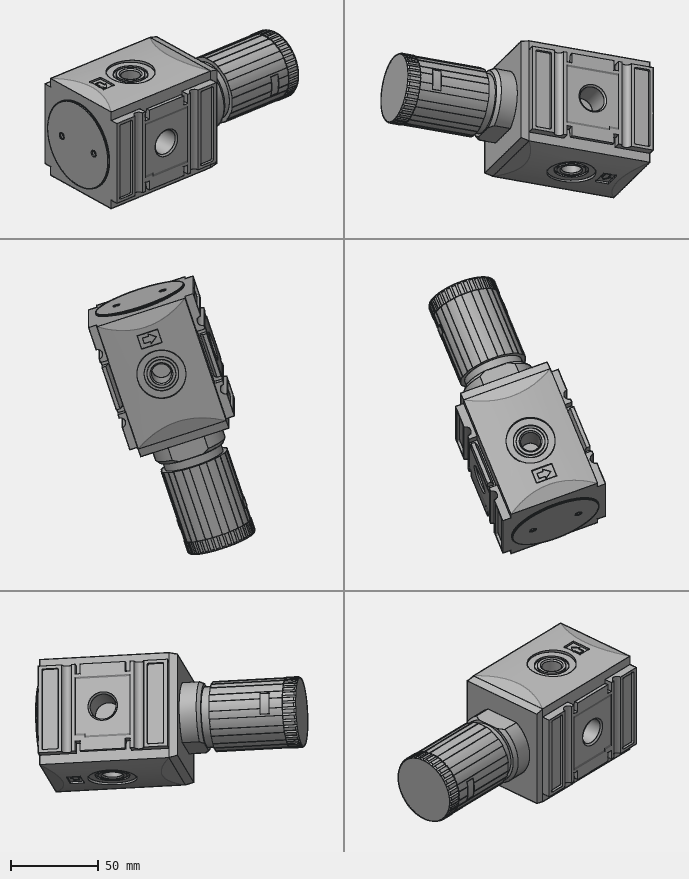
import cadquery as cq
import math


HOUSING_LENGTH = 75.2
HOUSING_HALF_WIDTH = 26.5
EDGE_HALF_HEIGHT = 31.5
CROWN_HALF_HEIGHT = 33.6
SLOPE_RUN = 8.5
SLOPE_GRADIENT = (CROWN_HALF_HEIGHT - EDGE_HALF_HEIGHT) / SLOPE_RUN
PORT_Y = HOUSING_LENGTH / 2

COVER_DIAMETER = 53.5
COVER_BOSS_DIAMETER = 43.8
COVER_GAP = 1.4
COVER_THICKNESS = 1.0
COVER_CHAMFER = 0.5
COVER_FRONT_Y = -COVER_GAP - COVER_THICKNESS
COVER_HOLE_DIAMETER = 3.2
COVER_HOLE_MOUTH_DIAMETER = 4.2
COVER_HOLE_DEPTH = 1.8
COVER_HOLE_X = 14.0

EAR_FACE_X = 31.5
EAR_HALF_HEIGHT = 26.0
EAR_GROOVE_RADIUS = 2.8
EAR_GROOVE_SPACING = 42.0
EAR_POCKET_LENGTH = 9.5
EAR_POCKET_HEIGHT = 48.3
EAR_POCKET_SPACING = 61.2
EAR_POCKET_DEPTH = 1.6
EAR_POCKET_CORNER = 0.9

HOOK_RECESS_LENGTH = 32.0
HOOK_LENGTH = 26.1
HOOK_FLOOR_Z = 20.1
HOOK_TIP_THICKNESS = 2.2
HOOK_ROOT_THICKNESS = 4.0

LABEL_DEPTH = 0.2
LABEL_HALF_HEIGHT = 18.0
LABEL_BEVEL = 0.6
LABEL_STEP_LENGTH = 5.7
LABEL_STEP_HEIGHT = 1.4

SIDE_PORT_DIAMETER = 15.0
SIDE_PORT_MOUTH_DIAMETER = 17.1
SIDE_PORT_DEPTH = 18.0

SPOTFACE_DIAMETER = 28.0
SPOTFACE_Z = 32.0
SEAL_GROOVE_OUTER_DIAMETER = 19.8
SEAL_GROOVE_INNER_DIAMETER = 16.5
SEAL_GROOVE_DEPTH = 1.0
GAUGE_PORT_DIAMETER = 11.4
GAUGE_PORT_MOUTH_DIAMETER = 13.0
GAUGE_PORT_DEPTH = 18.0

ARROW_POCKET_LENGTH = 12.3
ARROW_POCKET_WIDTH = 8.1
ARROW_POCKET_Y = 16.0
ARROW_POCKET_FLOOR_Z = 32.4
ARROW_DEPTH = 0.5
ARROW_TAIL_X = -3.8
ARROW_TIP_X = 4.0
ARROW_HALF_HEAD = 3.0
ARROW_HALF_SHAFT = 1.6

BONNET_END_Y = 80.1
NUT_DIAMETER = 42.0
NUT_ACROSS_FLATS = 36.0
NUT_END_Y = 92.2
NUT_CHAMFER_LENGTH = 2.2
NUT_CHAMFER_WIDTH = 1.8
NECK_DIAMETER = 35.0
KNOB_START_Y = 97.2

GRIP_DIAMETER = 40.2
FLUTE_COUNT = 12
FLUTE_ANGLE = 17.0
FLUTE_DEPTH = 0.3

COLLAR_START_Y = 139.8
COLLAR_END_Y = 147.6
COLLAR_DIAMETER = 40.6
COLLAR_CHAMFER_LENGTH = 1.0
COLLAR_CHAMFER_WIDTH = 0.6
KNURL_COUNT = 36
KNURL_RADIUS = 0.68

LUG_START_Y = 126.9
LUG_LENGTH = 5.2
LUG_HEIGHT = 12.3


def box(x_range, y_range, z_range):
    """Box between the given limits."""
    sizes = [high - low for low, high in (x_range, y_range, z_range)]
    corner = cq.Vector(x_range[0], y_range[0], z_range[0])
    return cq.Workplane(cq.Solid.makeBox(*sizes, corner))


def round_bar(diameter, start, axis, length):
    """Cylinder from a start point along an axis."""
    return cq.Workplane(
        cq.Solid.makeCylinder(diameter / 2, length, cq.Vector(*start), cq.Vector(*axis))
    )


def turned_y(diameter, y_start, y_end):
    """Cylinder on the Y axis between two Y values."""
    return round_bar(diameter, (0, y_start, 0), (0, 1, 0), y_end - y_start)


def drilled_hole(diameter, mouth_diameter, start, axis, depth):
    """Blind hole whose mouth widens with a 45 degree countersink."""
    sink_depth = (mouth_diameter - diameter) / 2
    sink = cq.Solid.makeCone(
        mouth_diameter / 2, diameter / 2, sink_depth, cq.Vector(*start), cq.Vector(*axis)
    )
    return round_bar(diameter, start, axis, depth).union(cq.Workplane(sink))


def both_sides(tool, plane):
    """A cutting or added shape together with its mirror image."""
    return tool.union(tool.mirror(plane))


def casing():
    """Domed block with sloped ends that the housing and the bonnet base are parts of."""
    dome = (
        cq.Workplane("XZ")
        .moveTo(-HOUSING_HALF_WIDTH, -EDGE_HALF_HEIGHT)
        .threePointArc((0, -CROWN_HALF_HEIGHT), (HOUSING_HALF_WIDTH, -EDGE_HALF_HEIGHT))
        .lineTo(HOUSING_HALF_WIDTH, EDGE_HALF_HEIGHT)
        .threePointArc((0, CROWN_HALF_HEIGHT), (-HOUSING_HALF_WIDTH, EDGE_HALF_HEIGHT))
        .close()
        .extrude(-BONNET_END_Y)
    )
    end_half_height = EDGE_HALF_HEIGHT - SLOPE_GRADIENT * (BONNET_END_Y - HOUSING_LENGTH)
    upper_outline = [
        (0, EDGE_HALF_HEIGHT),
        (SLOPE_RUN, CROWN_HALF_HEIGHT),
        (HOUSING_LENGTH - SLOPE_RUN, CROWN_HALF_HEIGHT),
        (BONNET_END_Y, end_half_height),
    ]
    lower_outline = [(y, -z) for y, z in reversed(upper_outline)]
    slopes = (
        cq.Workplane("YZ")
        .polyline(upper_outline + lower_outline)
        .close()
        .extrude(HOUSING_HALF_WIDTH, both=True)
    )
    return dome.intersect(slopes)


def casing_slice(y_start, y_end):
    """Part of the casing between two Y values."""
    return casing().intersect(
        box(
            (-HOUSING_HALF_WIDTH, HOUSING_HALF_WIDTH),
            (y_start, y_end),
            (-CROWN_HALF_HEIGHT, CROWN_HALF_HEIGHT),
        )
    )


def hook_gap():
    """Space above the upper hook floor of the +X ear, with the undercut land left standing."""
    recess = box(
        (HOUSING_HALF_WIDTH, EAR_FACE_X),
        (PORT_Y - HOOK_RECESS_LENGTH / 2, PORT_Y + HOOK_RECESS_LENGTH / 2),
        (HOOK_FLOOR_Z, EAR_HALF_HEIGHT),
    )
    land = (
        cq.Workplane("XZ", origin=(0, PORT_Y, 0))
        .polyline([
            (EAR_FACE_X, HOOK_FLOOR_Z),
            (EAR_FACE_X, EAR_HALF_HEIGHT),
            (EAR_FACE_X - HOOK_TIP_THICKNESS, EAR_HALF_HEIGHT),
            (EAR_FACE_X - HOOK_ROOT_THICKNESS, HOOK_FLOOR_Z),
        ])
        .close()
        .extrude(HOOK_LENGTH / 2, both=True)
    )
    return recess.cut(land)


def label_strip(y_start, y_end, z_bottom):
    """Label recess of the +X ear with bevelled top and bottom walls, between two Y values."""
    floor_x = EAR_FACE_X - LABEL_DEPTH
    return (
        cq.Workplane("XZ", origin=(0, y_start, 0))
        .polyline([
            (EAR_FACE_X, z_bottom),
            (EAR_FACE_X, LABEL_HALF_HEIGHT),
            (floor_x, LABEL_HALF_HEIGHT - LABEL_BEVEL),
            (floor_x, z_bottom + LABEL_BEVEL),
        ])
        .close()
        .extrude(y_start - y_end)
    )


def label_recess():
    """Label recess of the +X ear, with a step in its lower front corner."""
    front_y = PORT_Y - HOOK_RECESS_LENGTH / 2
    back_y = PORT_Y + HOOK_RECESS_LENGTH / 2
    step_y = front_y + LABEL_STEP_LENGTH
    stepped_strip = label_strip(front_y, step_y, -LABEL_HALF_HEIGHT + LABEL_STEP_HEIGHT)
    return label_strip(step_y, back_y, -LABEL_HALF_HEIGHT).union(stepped_strip)


def ear():
    """Mounting ear on the +X side."""
    body = box(
        (HOUSING_HALF_WIDTH, EAR_FACE_X),
        (0, HOUSING_LENGTH),
        (-EAR_HALF_HEIGHT, EAR_HALF_HEIGHT),
    )
    for side in (-1, 1):
        groove_y = PORT_Y + side * EAR_GROOVE_SPACING / 2
        groove_start = (EAR_FACE_X, groove_y, -EAR_HALF_HEIGHT)
        body = body.cut(
            round_bar(2 * EAR_GROOVE_RADIUS, groove_start, (0, 0, 1), 2 * EAR_HALF_HEIGHT)
        )
        pocket_y = PORT_Y + side * EAR_POCKET_SPACING / 2
        pocket = (
            cq.Workplane("YZ", origin=(EAR_FACE_X, pocket_y, 0))
            .rect(EAR_POCKET_LENGTH, EAR_POCKET_HEIGHT)
            .extrude(-EAR_POCKET_DEPTH)
            .edges("|X")
            .fillet(EAR_POCKET_CORNER)
        )
        body = body.cut(pocket)
    return body.cut(both_sides(hook_gap(), "XY")).cut(label_recess())


def side_port():
    """Blind port in the +X ear."""
    floor_x = EAR_FACE_X - LABEL_DEPTH
    return drilled_hole(
        SIDE_PORT_DIAMETER,
        SIDE_PORT_MOUTH_DIAMETER,
        (floor_x, PORT_Y, 0),
        (-1, 0, 0),
        SIDE_PORT_DEPTH,
    )


def gauge_port():
    """Spotface, seal groove and blind hole in the upper dome."""
    spotface_centre = (0, PORT_Y, SPOTFACE_Z)
    spotface = round_bar(
        SPOTFACE_DIAMETER, spotface_centre, (0, 0, 1), CROWN_HALF_HEIGHT - SPOTFACE_Z
    )
    groove = round_bar(
        SEAL_GROOVE_OUTER_DIAMETER, spotface_centre, (0, 0, -1), SEAL_GROOVE_DEPTH
    ).cut(round_bar(SEAL_GROOVE_INNER_DIAMETER, spotface_centre, (0, 0, -1), SEAL_GROOVE_DEPTH))
    hole = drilled_hole(
        GAUGE_PORT_DIAMETER,
        GAUGE_PORT_MOUTH_DIAMETER,
        spotface_centre,
        (0, 0, -1),
        GAUGE_PORT_DEPTH,
    )
    return spotface.union(groove).union(hole)


def flow_arrow():
    """Pocket in the upper dome with an arrow sunk into its floor, pointing to +X."""
    plane = cq.Workplane("XY", origin=(0, ARROW_POCKET_Y, ARROW_POCKET_FLOOR_Z))
    pocket = plane.rect(ARROW_POCKET_LENGTH, ARROW_POCKET_WIDTH).extrude(
        CROWN_HALF_HEIGHT - ARROW_POCKET_FLOOR_Z
    )
    arrow = (
        plane.polyline([
            (ARROW_TAIL_X, -ARROW_HALF_SHAFT),
            (0, -ARROW_HALF_SHAFT),
            (0, -ARROW_HALF_HEAD),
            (ARROW_TIP_X, 0),
            (0, ARROW_HALF_HEAD),
            (0, ARROW_HALF_SHAFT),
            (ARROW_TAIL_X, ARROW_HALF_SHAFT),
        ])
        .close()
        .extrude(-ARROW_DEPTH)
    )
    return pocket.union(arrow)


def front_cover():
    """Cover disc standing off the housing front, with two blind holes."""
    cover = turned_y(COVER_DIAMETER, COVER_FRONT_Y, -COVER_GAP).faces("<Y").chamfer(COVER_CHAMFER)
    cover = cover.union(turned_y(COVER_BOSS_DIAMETER, -COVER_GAP, 0))
    hole = drilled_hole(
        COVER_HOLE_DIAMETER,
        COVER_HOLE_MOUTH_DIAMETER,
        (COVER_HOLE_X, COVER_FRONT_Y, 0),
        (0, 1, 0),
        COVER_HOLE_DEPTH,
    )
    return cover.cut(both_sides(hole, "YZ"))


def make_housing():
    """Housing with ears, ports and front cover."""
    body = casing_slice(0, HOUSING_LENGTH)
    body = body.union(both_sides(ear(), "YZ"))
    body = body.union(front_cover())
    body = body.cut(both_sides(side_port(), "YZ"))
    body = body.cut(both_sides(gauge_port(), "XY"))
    return body.cut(both_sides(flow_arrow(), "XY"))


def nut():
    """Round collar with a bevelled end and two flats, facing +Z and -Z."""
    collar = (
        turned_y(NUT_DIAMETER, BONNET_END_Y, NUT_END_Y)
        .faces(">Y")
        .chamfer(NUT_CHAMFER_LENGTH, NUT_CHAMFER_WIDTH)
    )
    between_flats = box(
        (-NUT_DIAMETER / 2, NUT_DIAMETER / 2),
        (BONNET_END_Y, NUT_END_Y),
        (-NUT_ACROSS_FLATS / 2, NUT_ACROSS_FLATS / 2),
    )
    return collar.intersect(between_flats)


def on_circle(radius, angle):
    """Point on a circle around the origin, at an angle in radians."""
    return (radius * math.cos(angle), radius * math.sin(angle))


def grip():
    """Knob grip with shallow flutes along its whole length."""
    body = turned_y(GRIP_DIAMETER, KNOB_START_Y, COLLAR_START_Y)
    outer_radius = GRIP_DIAMETER / 2
    half_angle = math.radians(FLUTE_ANGLE / 2)

    floor_radius = outer_radius - FLUTE_DEPTH
    cut_radius = outer_radius + FLUTE_DEPTH
    pitch = 360 / FLUTE_COUNT
    flute = (
        cq.Workplane("XZ", origin=(0, KNOB_START_Y, 0))
        .moveTo(*on_circle(floor_radius, -half_angle))
        .threePointArc((floor_radius, 0), on_circle(floor_radius, half_angle))
        .lineTo(*on_circle(cut_radius, half_angle))
        .lineTo(*on_circle(cut_radius, -half_angle))
        .close()
        .extrude(KNOB_START_Y - COLLAR_START_Y)
    )
    for index in range(FLUTE_COUNT):
        body = body.cut(flute.rotate((0, 0, 0), (0, 1, 0), index * pitch))
    return body


def knurled_collar():
    """Bevelled collar with round knurl grooves along the knob axis."""
    collar = (
        turned_y(COLLAR_DIAMETER, COLLAR_START_Y, COLLAR_END_Y)
        .faces(">Y")
        .chamfer(COLLAR_CHAMFER_LENGTH, COLLAR_CHAMFER_WIDTH)
    )
    grooves = (
        cq.Workplane("XZ", origin=(0, COLLAR_START_Y, 0))
        .polarArray(COLLAR_DIAMETER / 2, 0, 360, KNURL_COUNT)
        .circle(KNURL_RADIUS)
        .extrude(COLLAR_START_Y - COLLAR_END_Y)
    )
    return collar.cut(grooves)


def lugs():
    """Two low lugs on the grip, facing +X and -X, as high as the collar."""
    ring = turned_y(COLLAR_DIAMETER, LUG_START_Y, LUG_START_Y + LUG_LENGTH)
    side_block = box(
        (NECK_DIAMETER / 2, COLLAR_DIAMETER / 2),
        (LUG_START_Y, LUG_START_Y + LUG_LENGTH),
        (-LUG_HEIGHT / 2, LUG_HEIGHT / 2),
    )
    return ring.intersect(both_sides(side_block, "YZ"))


def make_regulator_head():
    """Bonnet, nut, neck and adjusting knob."""
    body = casing_slice(HOUSING_LENGTH, BONNET_END_Y)
    body = body.union(nut())
    body = body.union(turned_y(NECK_DIAMETER, NUT_END_Y, KNOB_START_Y))
    return body.union(grip()).union(knurled_collar()).union(lugs())


housing = make_housing()
regulator_head = make_regulator_head()
result = cq.Compound.makeCompound([housing.val(), regulator_head.val()])